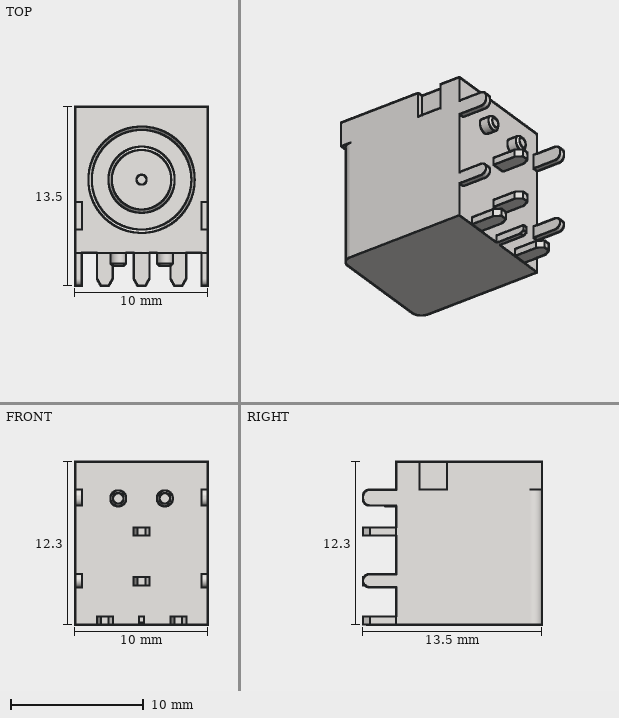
import cadquery as cq
import math

width = 10.0
height = 12.3
pin_length = 2.5
depth = 13.5 - pin_length
rear_corner_radius = 0.86
shoulder_z = 10.19

sheet = 0.5
notch_front = 1.77
notch_length = 2.05

socket_y = depth / 2
socket_diameter = 7.5
socket_depth = 9.0
socket_chamfer = 0.25
post_diameter = 5.0
post_recess = 0.5
post_chamfer = 0.25
post_hole_diameter = 0.75
post_hole_depth = 6.75

tab_tip_radius = 0.5
upper_tab_height = 1.2
upper_tab_bottom = shoulder_z - upper_tab_height
lower_tab_height = 2 * tab_tip_radius
lower_tab_bottom = 2.84

pin_width = 1.2
pin_thickness = 0.62
pin_tip_width = 0.6
pin_taper_length = 0.54
outer_pin_x = 2.77
bottom_pin_z = 0.03
middle_pin_bottoms = (2.98, 6.72)
thin_pin_width = 0.4
thin_pin_height = bottom_pin_z + pin_thickness
thin_pin_taper_length = 0.31
thin_pin_taper_height = 0.2

peg_x = 1.75
peg_z = 9.53
peg_diameter = 1.2
peg_length = 1.0
peg_chamfer = 0.2


def box(x_size, y_size, z_size, x, y, z):
    """Box centred on x, with its lowest Y and Z at y and z."""
    return cq.Workplane("XY").box(x_size, y_size, z_size, centered=(True, False, False)).translate((x, y, z))


def cylinder(diameter, length, bottom):
    """Vertical cylinder on the socket axis."""
    return cq.Workplane("XY", origin=(0, socket_y, bottom)).circle(diameter / 2).extrude(length)


def housing():
    lower = box(width, depth, shoulder_z, 0, 0, 0).edges("|Z and >Y").fillet(rear_corner_radius)
    upper = box(width, depth, height - shoulder_z, 0, 0, shoulder_z)
    body = lower.union(upper)
    for side in (-1, 1):
        notch_x = side * (width - sheet) / 2
        body = body.cut(box(sheet, notch_length, height - shoulder_z, notch_x, notch_front, shoulder_z))
    return body


def cut_socket(body):
    cavity = cylinder(socket_diameter, socket_depth, height - socket_depth)
    body = body.cut(cavity)
    body = body.faces(">Z").edges("%CIRCLE").chamfer(socket_chamfer)
    post = cylinder(post_diameter, socket_depth - post_recess, height - socket_depth)
    post = post.faces(">Z").chamfer(post_chamfer)
    hole = cylinder(post_hole_diameter, post_hole_depth, height - post_recess - post_hole_depth)
    return body.union(post).cut(hole)


def shield_tab(side, bottom, tab_height):
    """Tab whose tip ends in two quarter rounds, with a flat between them if there is room."""
    top = bottom + tab_height
    round_start = tab_tip_radius - pin_length
    mid_offset = tab_tip_radius * math.sin(math.radians(45))
    outline = (
        cq.Workplane("YZ", origin=(-sheet / 2, 0, 0))
        .moveTo(0, bottom)
        .lineTo(round_start, bottom)
        .threePointArc(
            (round_start - mid_offset, bottom + tab_tip_radius - mid_offset),
            (-pin_length, bottom + tab_tip_radius),
        )
    )
    if tab_height > 2 * tab_tip_radius:
        outline = outline.lineTo(-pin_length, top - tab_tip_radius)
    outline = outline.threePointArc(
        (round_start - mid_offset, top - tab_tip_radius + mid_offset), (round_start, top)
    )
    tab = outline.lineTo(0, top).close().extrude(sheet)
    return tab.translate((side * (width - sheet) / 2, 0, 0))


def contact_pin(x, bottom):
    taper_start = pin_taper_length - pin_length
    outline = [
        (-pin_width / 2, 0),
        (-pin_width / 2, taper_start),
        (-pin_tip_width / 2, -pin_length),
        (pin_tip_width / 2, -pin_length),
        (pin_width / 2, taper_start),
        (pin_width / 2, 0),
    ]
    return cq.Workplane("XY").polyline(outline).close().extrude(pin_thickness).translate((x, 0, bottom))


def thin_pin():
    """Narrow pin at the bottom, bevelled underneath its tip."""
    outline = [
        (0, 0),
        (thin_pin_taper_length - pin_length, 0),
        (-pin_length, thin_pin_taper_height),
        (-pin_length, thin_pin_height),
        (0, thin_pin_height),
    ]
    start = (-thin_pin_width / 2, 0, 0)
    return cq.Workplane("YZ", origin=start).polyline(outline).close().extrude(thin_pin_width)


def locating_peg(x):
    peg = cq.Workplane("XZ", origin=(x, 0, peg_z)).circle(peg_diameter / 2).extrude(peg_length)
    return peg.faces("<Y").chamfer(peg_chamfer)


result = cut_socket(housing()).union(thin_pin())
for pin_bottom in middle_pin_bottoms:
    result = result.union(contact_pin(0, pin_bottom))
for side in (-1, 1):
    result = result.union(contact_pin(side * outer_pin_x, bottom_pin_z))
    result = result.union(locating_peg(side * peg_x))
    result = result.union(shield_tab(side, upper_tab_bottom, upper_tab_height))
    result = result.union(shield_tab(side, lower_tab_bottom, lower_tab_height))